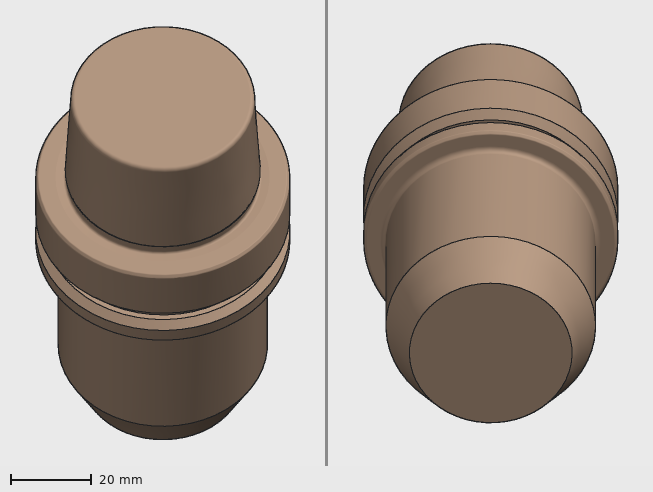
import cadquery as cq

total_length = 111.9
half_length = total_length / 2
shank_length = 31.9
flange_width = 26.1
nose_length = 12.9
flange_top = half_length - shank_length
flange_bottom = flange_top - flange_width
nose_top = nose_length - half_length

shank_top_radius = 22.8
shank_base_radius = 24.2
shank_edge_round = 1.1
neck_radius = 23.8
neck_length = 2.8
shank_lip_drop = 0.3
neck_fillet = 0.7
neck_top = flange_top + neck_length

dish_radius = 26.5
dish_depth = 0.2
dish_floor = flange_top - dish_depth

flange_diameter = 63.0
flange_radius = flange_diameter / 2
flange_chamfer = 0.7
flange_corner_round = 0.5
rim_margin = 0.06
groove_radius = 27.8
groove_flare_radius = 29.2
groove_top = 9.5
groove_upper_slope = 1.8
groove_floor_width = 3.7
groove_lower_slope = 1.5
groove_floor_top = groove_top - groove_upper_slope
groove_floor_bottom = groove_floor_top - groove_floor_width
groove_bottom = groove_floor_bottom - groove_lower_slope

body_radius = 26.0
body_fillet = 1.3
nose_end_radius = 20.1


def make_profile():
    """Half section in the XZ plane, traced from the top down to the nose."""
    return (
        cq.Workplane("XZ")
        .moveTo(0, half_length)
        .lineTo(shank_top_radius - shank_edge_round, half_length)
        .radiusArc((shank_top_radius, half_length - shank_edge_round), shank_edge_round)
        .lineTo(shank_base_radius, neck_top)
        .lineTo(neck_radius, neck_top - shank_lip_drop)
        .lineTo(neck_radius, dish_floor + neck_fillet)
        .radiusArc((neck_radius + neck_fillet, dish_floor), -neck_fillet)
        .lineTo(dish_radius, flange_top)
        .lineTo(flange_radius - flange_chamfer, flange_top)
        .lineTo(flange_radius, flange_top - flange_chamfer)
        .lineTo(flange_radius, groove_top)
        .lineTo(groove_flare_radius, groove_floor_top)
        .lineTo(groove_radius, groove_floor_top)
        .lineTo(groove_radius, groove_floor_bottom)
        .lineTo(groove_flare_radius, groove_floor_bottom)
        .lineTo(flange_radius, groove_bottom)
        .lineTo(flange_radius, flange_bottom + flange_chamfer)
        .lineTo(flange_radius - flange_chamfer, flange_bottom)
        .lineTo(body_radius + body_fillet, flange_bottom)
        .radiusArc((body_radius, flange_bottom - body_fillet), -body_fillet)
        .lineTo(body_radius, nose_top)
        .lineTo(nose_end_radius, -half_length)
        .lineTo(0, -half_length)
        .close()
    )


def round_flange_rims(body):
    """Soften both corners of the chamfer on each flange rim."""
    rim_corners = [
        (flange_radius - flange_chamfer, flange_top),
        (flange_radius, flange_top - flange_chamfer),
        (flange_radius, flange_bottom + flange_chamfer),
        (flange_radius - flange_chamfer, flange_bottom),
    ]
    for radius, height in rim_corners:
        rim = cq.selectors.BoxSelector(
            (-radius - rim_margin, -radius - rim_margin, height - rim_margin),
            (radius + rim_margin, radius + rim_margin, height + rim_margin),
            boundingbox=True,
        )
        corner = body.edges(rim).edges(cq.selectors.RadiusNthSelector(-1))
        body = corner.fillet(flange_corner_round)
    return body


result = make_profile().revolve(360, (0, 0, 0), (0, 1, 0))
result = round_flange_rims(result)